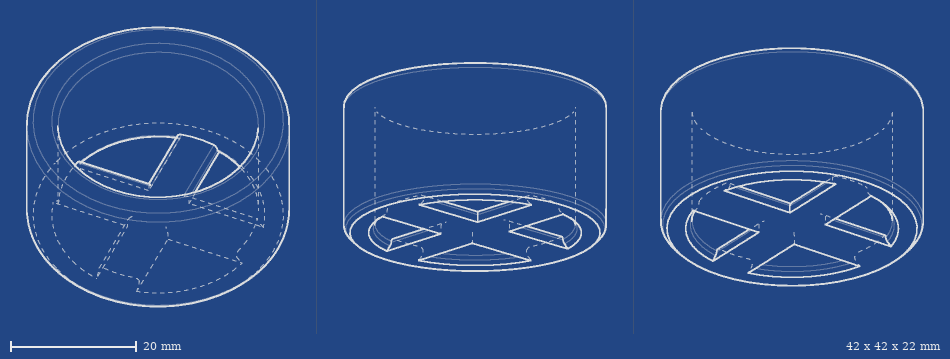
import cadquery as cq

outer_diameter = 42.0
bore_diameter = 32.0
height = 22.0
edge_size = 1.0

x_bar_width = 8.5
y_bar_width = 7.0
bar_thickness = 2.0
bar_edge_radius = 0.7


def make_ring():
    """Tube with rounded top rims and blended chamfers at the bottom."""
    ring = cq.Workplane("XY").circle(outer_diameter / 2).circle(bore_diameter / 2).extrude(height)
    ring = ring.faces(">Z").edges().fillet(edge_size)
    ring = ring.faces("<Z").edges().chamfer(edge_size)
    chamfer_tops = cq.selectors.BoxSelector(
        (-outer_diameter, -outer_diameter, edge_size / 2),
        (outer_diameter, outer_diameter, 2 * edge_size),
    )
    return ring.edges("%CIRCLE").edges(chamfer_tops).fillet(edge_size)


def make_cross():
    """Two crossing bars with rounded top edges, ending at the bore wall."""
    span = outer_diameter
    lift = (True, True, False)
    x_bar = cq.Workplane("XY").box(span, x_bar_width, bar_thickness, centered=lift)
    y_bar = cq.Workplane("XY").box(y_bar_width, span, bar_thickness, centered=lift)
    cross = x_bar.union(y_bar).faces(">Z").edges().fillet(bar_edge_radius)
    limit = cq.Workplane("XY").circle(bore_diameter / 2 + edge_size).extrude(bar_thickness)
    return cross.intersect(limit)


result = make_ring().union(make_cross())